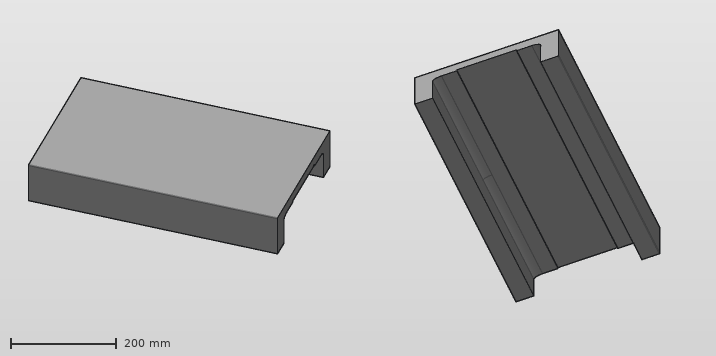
import cadquery as cq

length = 500.0
width = 295.0
height = 85.0

leg_thickness = 37.0
web_thickness = 20.0
recess_width = 122.0
recess_depth = 3.0
corner_width = 18.0
corner_height = 8.0
outer_radius = 1.25

opening_width = width - 2 * leg_thickness
recess_ceiling = height - web_thickness
shelf_height = recess_ceiling - recess_depth


def make_body():
    """Block along X with its four long outer edges rounded."""
    block = cq.Workplane("XY").box(length, width, height, centered=(True, True, False))
    return block.edges("|X").fillet(outer_radius)


def make_slot(slot_width, slot_height):
    """Rectangular cutter along X, centred in Y and rising from the base."""
    return cq.Workplane("XY").box(length, slot_width, slot_height, centered=(True, True, False))


def make_opening():
    """Channel between the legs, with elliptical top corners."""
    corner_center_y = opening_width / 2 - corner_width
    corner_center_z = shelf_height - corner_height
    corners = (
        cq.Workplane("YZ")
        .pushPoints([(-corner_center_y, corner_center_z), (corner_center_y, corner_center_z)])
        .ellipse(corner_width, corner_height)
        .extrude(length / 2, both=True)
    )
    lower_slot = make_slot(opening_width, corner_center_z)
    upper_slot = make_slot(2 * corner_center_y, shelf_height)
    return lower_slot.union(upper_slot).union(corners)


recess = make_slot(recess_width, recess_ceiling)

result = make_body().cut(make_opening()).cut(recess)